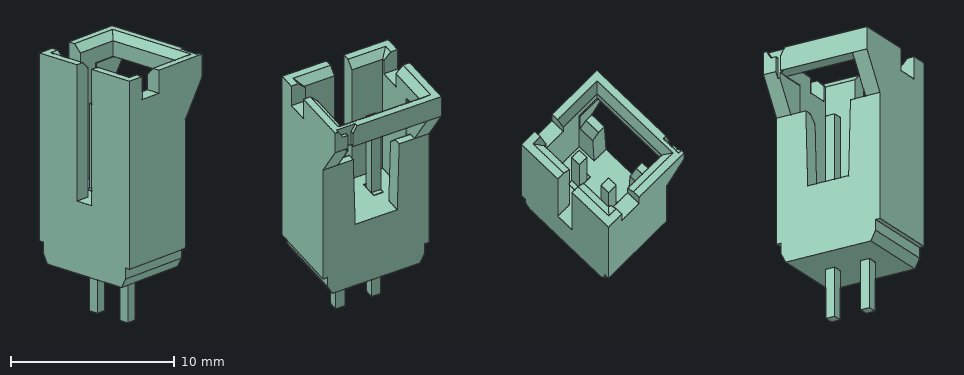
import cadquery as cq

width = 7.48
body_depth = 5.1
lip_depth = 6.6
top_z = 16.89
base_z = 3.28
floor_z = 8.0
rim_height = 1.5
rim_z = top_z - rim_height
shoulder_z = 13.04

foot_step_z = 4.63
foot_taper_z = 3.92
foot_step = 0.32
foot_inset = 0.66

side_wall = 0.98
front_wall = 1.01
cavity_back = 5.62
lead_in = 0.49
cavity_width = width - 2 * side_wall

slot_width = 1.22
notch_front = 1.17
notch_back = 2.67

post_front = 4.05
post_base_width = 1.28
post_top_width = 1.15
post_chamfer = 0.52
liner_thickness = 0.07

pin_size = 0.66
pin_pitch = 2.52
pin_y = 2.53
pin_top_z = 13.51
pad_depth = 1.25
pad_height = 0.03

mark_depth = 0.24
mark_left = 2.2
mark_stem_left = 2.48
mark_stem_right = 2.84
mark_step_right = 3.2
mark_right = 3.51
mark_height = 0.5


def box(x_min, x_max, y_min, y_max, z_min, z_max):
    return (
        cq.Workplane("XY")
        .box(x_max - x_min, y_max - y_min, z_max - z_min, centered=False)
        .translate((x_min, y_min, z_min))
    )


def centred_box(size_x, y_min, y_max, z_min, z_max):
    return box(-size_x / 2, size_x / 2, y_min, y_max, z_min, z_max)


def make_shell():
    """Side profile intersected with the front outline, including the tapered foot."""
    side = (
        cq.Workplane("YZ")
        .polyline([
            (0, base_z), (body_depth, base_z), (body_depth, shoulder_z),
            (lip_depth, rim_z), (lip_depth, top_z), (0, top_z),
        ])
        .close()
        .extrude(width / 2, both=True)
    )
    half = width / 2
    right_edge = [
        (half - foot_inset, base_z), (half - foot_step, foot_taper_z),
        (half - foot_step, foot_step_z), (half, foot_step_z), (half, top_z),
    ]
    left_edge = [(-x, z) for x, z in reversed(right_edge)]
    front = cq.Workplane("XZ").polyline(right_edge + left_edge).close().extrude(-lip_depth)
    return side.intersect(front)


def make_cavity():
    """Connector cavity, open at the rear below the lip, with a chamfered mouth."""
    cavity = centred_box(cavity_width, front_wall, cavity_back, floor_z, top_z)
    rear_opening = centred_box(cavity_width, front_wall, lip_depth, floor_z, rim_z)
    middle_y = (front_wall + cavity_back) / 2
    cavity_depth = cavity_back - front_wall
    mouth = (
        cq.Workplane("XY", origin=(0, middle_y, top_z - lead_in))
        .rect(cavity_width, cavity_depth)
        .workplane(offset=lead_in)
        .rect(cavity_width + 2 * lead_in, cavity_depth + 2 * lead_in)
        .loft(ruled=True)
    )
    return cavity.union(rear_opening).union(mouth)


def make_left_post():
    """Rear corner post that narrows upwards and is chamfered towards the cavity."""
    wall_x = -width / 2 + side_wall
    profile = (
        cq.Workplane("XZ", origin=(0, post_front, 0))
        .polyline([
            (wall_x, floor_z), (wall_x + post_base_width, floor_z),
            (wall_x + post_top_width, shoulder_z), (wall_x, shoulder_z),
        ])
        .close()
        .extrude(-(body_depth - post_front))
    )
    chamfer = (
        cq.Workplane("YZ", origin=(wall_x, 0, 0))
        .polyline([
            (post_front, shoulder_z - post_chamfer), (post_front, shoulder_z),
            (post_front + post_chamfer, shoulder_z),
        ])
        .close()
        .extrude(post_base_width)
    )
    return profile.cut(chamfer)


def make_left_liner():
    """Thin layer on the rear part of the side wall, within the flared outline."""
    wall_x = -width / 2 + side_wall
    return (
        cq.Workplane("YZ", origin=(wall_x, 0, 0))
        .polyline([
            (post_front, floor_z), (body_depth, floor_z), (body_depth, shoulder_z),
            (lip_depth, rim_z), (post_front, rim_z),
        ])
        .close()
        .extrude(liner_thickness)
    )


def make_mark():
    """Stepped recess whose stem runs through the full height of the lip."""
    slope_z = top_z - mark_height
    return (
        cq.Workplane("XZ", origin=(0, lip_depth, 0))
        .polyline([
            (mark_left, top_z), (mark_stem_left, slope_z), (mark_stem_left, shoulder_z),
            (mark_stem_right, shoulder_z), (mark_stem_right, slope_z),
            (mark_step_right, slope_z), (mark_right, top_z),
        ])
        .close()
        .extrude(mark_depth)
    )


result = make_shell().cut(make_cavity())

result = result.cut(centred_box(slot_width, 0, front_wall, floor_z, top_z))
result = result.cut(centred_box(width, notch_front, notch_back, rim_z, top_z))

rear_left = make_left_post().union(make_left_liner())
result = result.union(rear_left).union(rear_left.mirror("YZ"))
result = result.cut(make_mark())

for pin_x in (-pin_pitch / 2, pin_pitch / 2):
    x_min = pin_x - pin_size / 2
    x_max = pin_x + pin_size / 2
    pin = box(x_min, x_max, pin_y - pin_size / 2, pin_y + pin_size / 2, 0, pin_top_z)
    pad = box(
        x_min, x_max, pin_y - pad_depth / 2, pin_y + pad_depth / 2,
        base_z, floor_z + pad_height,
    )
    result = result.union(pin).union(pad)